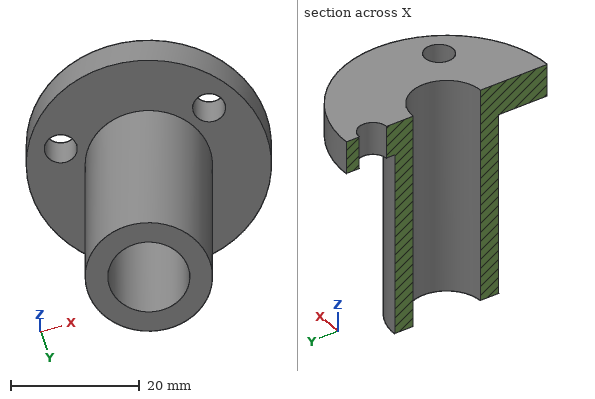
import cadquery as cq

total_height = 39.27
flange_diameter = 38.1
flange_thickness = 5.95
sleeve_diameter = 19.8
bore_diameter = 12.72

bolt_hole_count = 3
bolt_hole_diameter = 5.1
bolt_circle_radius = 13.98
first_bolt_angle = 90.0

sleeve_length = total_height - flange_thickness

sleeve = cq.Workplane("XY").circle(sleeve_diameter / 2).extrude(sleeve_length)
flange = (
    cq.Workplane("XY")
    .workplane(offset=sleeve_length)
    .circle(flange_diameter / 2)
    .extrude(flange_thickness)
)

bore = cq.Workplane("XY").circle(bore_diameter / 2).extrude(total_height)

bolt_holes = (
    cq.Workplane("XY")
    .workplane(offset=sleeve_length)
    .polarArray(bolt_circle_radius, first_bolt_angle, 360, bolt_hole_count)
    .circle(bolt_hole_diameter / 2)
    .extrude(flange_thickness)
)

result = sleeve.union(flange).cut(bore).cut(bolt_holes)